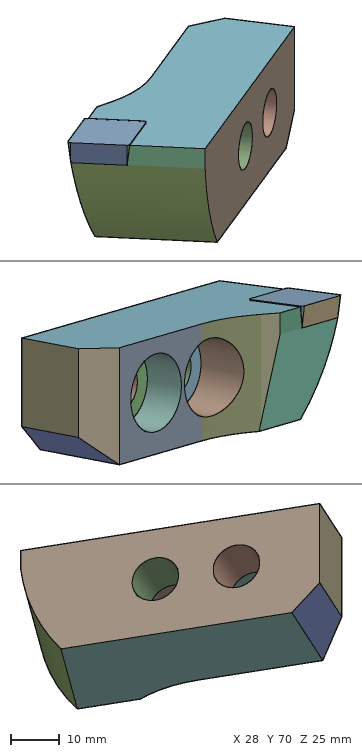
import cadquery as cq
import math


total_length = 70.0
total_width = 28.0
total_height = 25.0

insert_rise = 0.2
holder_height = total_height - insert_rise
shank_width = 21.0
back_chamfer = 6.0
neck_start_from_back = 33.0
neck_radius = 26.0
neck_angle = math.radians(33)

seat_height = 20.2
relief_angle = 7.0
lead_angle = 10.0
insert_width = 12.7
insert_thickness = total_height - seat_height
relief_offset = insert_thickness * math.tan(math.radians(relief_angle))
nose_relief_radius = 40.0

screw_diameter = 10.0
counterbore_diameter = 16.5
counterbore_depth = 9.0
hole_height = 13.0
first_hole_from_back = 18.0
hole_spacing = 17.5
hole_count = 2

head_left = -total_width + relief_offset
head_front = relief_offset
lead_slope = math.tan(math.radians(lead_angle))
right_front = head_front - head_left * lead_slope

cut_margin = 3.5


def make_holder_blank():
    """Plan outline of shank, curved neck and head, extruded to full height."""
    arc_start_y = total_length - neck_start_from_back

    def neck_point(angle):
        x = -shank_width - neck_radius * (1 - math.cos(angle))
        y = arc_start_y - neck_radius * math.sin(angle)
        return x, y

    arc_end_x, arc_end_y = neck_point(neck_angle)
    head_back = arc_end_y - (arc_end_x - head_left) / math.tan(neck_angle)
    return (
        cq.Workplane("XY")
        .moveTo(0, right_front)
        .lineTo(0, total_length)
        .lineTo(-shank_width + back_chamfer, total_length)
        .lineTo(-shank_width, total_length - back_chamfer)
        .lineTo(-shank_width, arc_start_y)
        .threePointArc(neck_point(neck_angle / 2), (arc_end_x, arc_end_y))
        .lineTo(head_left, head_back)
        .lineTo(head_left, head_front)
        .close()
        .extrude(holder_height)
    )


def make_back_chamfer():
    """Wedge that bevels the lower back edge across the whole width."""
    return (
        cq.Workplane("YZ")
        .moveTo(total_length, 0)
        .lineTo(total_length, back_chamfer)
        .lineTo(total_length - back_chamfer, 0)
        .close()
        .extrude(-total_width)
    )


def make_side_relief():
    """Wedge that leans the left side of the head inward below the seat."""
    lean = seat_height * math.tan(math.radians(relief_angle))
    return (
        cq.Workplane("XZ")
        .moveTo(head_left, seat_height)
        .lineTo(head_left + lean, 0)
        .lineTo(head_left, 0)
        .close()
        .extrude(-total_length)
    )


def make_front_relief():
    """Cutter that curves the front face back below the seat, along the lead angle."""
    start_angle = math.radians(relief_angle)
    end_angle = math.asin(math.sin(start_angle) + seat_height / nose_relief_radius)

    def relief_point(angle):
        recess = nose_relief_radius * (math.cos(start_angle) - math.cos(angle))
        drop = nose_relief_radius * (math.sin(angle) - math.sin(start_angle))
        return recess, seat_height - drop

    return (
        cq.Workplane("YZ")
        .moveTo(0, seat_height)
        .threePointArc(relief_point((start_angle + end_angle) / 2), relief_point(end_angle))
        .lineTo(-cut_margin, 0)
        .lineTo(-cut_margin, seat_height)
        .close()
        .extrude(total_width + cut_margin, both=True)
        .rotate((0, 0, 0), (0, 0, 1), lead_angle)
        .translate((head_left, head_front, 0))
    )


def make_screw_hole(y):
    """Through hole along X with a counterbore from the shank's left side."""
    center_plane = cq.Workplane("YZ").center(y, hole_height)
    through_hole = center_plane.circle(screw_diameter / 2).extrude(-total_width)
    counterbore = (
        center_plane.workplane(offset=-total_width)
        .circle(counterbore_diameter / 2)
        .extrude(total_width - shank_width + counterbore_depth)
    )
    return through_hole.union(counterbore)


def make_insert():
    """Rhombic cutting insert that flares upward from a sharp-cornered base."""
    base_width = insert_width - 2 * relief_offset
    base_side = base_width / math.cos(math.radians(lead_angle))
    base_right = head_left + base_width
    right_edge_front = head_front + base_width * lead_slope
    return (
        cq.Workplane("XY", origin=(0, 0, seat_height))
        .moveTo(head_left, head_front)
        .lineTo(base_right, right_edge_front)
        .lineTo(base_right, right_edge_front + base_side)
        .lineTo(head_left, head_front + base_side)
        .close()
        .extrude(insert_thickness, taper=-relief_angle)
    )


def make_holder(insert):
    """Holder with its bevel, reliefs, screw holes and a pocket matching the insert."""
    holder = make_holder_blank()
    holder = holder.cut(make_back_chamfer())
    holder = holder.cut(make_side_relief())
    holder = holder.cut(make_front_relief())
    for index in range(hole_count):
        hole_y = total_length - first_hole_from_back - index * hole_spacing
        holder = holder.cut(make_screw_hole(hole_y))
    return holder.cut(insert)


insert = make_insert()
holder = make_holder(insert)

result = cq.Compound.makeCompound([holder.solids().val(), insert.solids().val()])